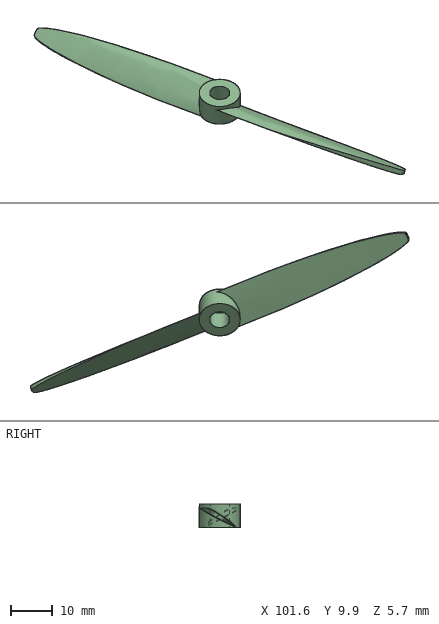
import cadquery as cq
import math

span = 101.6
hub_diameter = 9.9
hub_height = 5.7
bore_diameter = 4.8

low_edge = (-4.0, 0.0)
high_edge = (4.7, 4.6)
upper_surface = [(-1.9, 1.9), (0.0, 3.1), (2.4, 4.6)]
lower_surface = [(-1.2, 1.3), (2.5, 3.3)]

taper_start = 6.1
taper_length = 45.7
tip_corner_radius = 0.9
outline_half_width = 5.0
outline_depth = 20.3

tip_radius = span / 2
tip_ellipse_angle = math.acos((tip_radius - taper_start) / taper_length)
chord_angle = math.atan2(high_edge[1] - low_edge[1], high_edge[0] - low_edge[0])
chord_middle_y = (low_edge[0] + high_edge[0]) / 2
chord_middle_z = (low_edge[1] + high_edge[1]) / 2


def blade_section_bar():
    """Twist-free bar of lens-shaped section, from the hub axis to the tip on +X."""
    return (
        cq.Workplane("YZ")
        .moveTo(*low_edge)
        .spline(upper_surface + [high_edge], includeCurrent=True)
        .spline(lower_surface[::-1] + [low_edge], includeCurrent=True)
        .close()
        .extrude(tip_radius)
    )


def blade_outline_cutter():
    """Outline prism, standing square to the pitched chord."""
    tip_half_width = outline_half_width * math.sin(tip_ellipse_angle)
    tip_angle_degrees = math.degrees(tip_ellipse_angle)
    outline = (
        cq.Workplane("XY")
        .moveTo(0, -outline_half_width)
        .lineTo(taper_start, -outline_half_width)
        .ellipseArc(taper_length, outline_half_width, 270, 360 - tip_angle_degrees)
        .lineTo(tip_radius, tip_half_width)
        .ellipseArc(taper_length, outline_half_width, tip_angle_degrees, 90)
        .lineTo(0, outline_half_width)
        .close()
        .extrude(outline_depth)
    )
    return (
        outline.faces(">X")
        .edges("|Z")
        .fillet(tip_corner_radius)
        .translate((0, 0, -outline_depth / 2))
        .rotate((0, 0, 0), (1, 0, 0), math.degrees(chord_angle))
        .translate((0, chord_middle_y, chord_middle_z))
    )


left_blade = blade_section_bar().intersect(blade_outline_cutter()).mirror("YZ")
right_blade = left_blade.rotate((0, 0, 0), (0, 0, 1), 180)

hub = cq.Workplane("XY").circle(hub_diameter / 2).extrude(hub_height)
bore = cq.Workplane("XY").circle(bore_diameter / 2).extrude(hub_height)

result = hub.union(left_blade).union(right_blade).cut(bore)